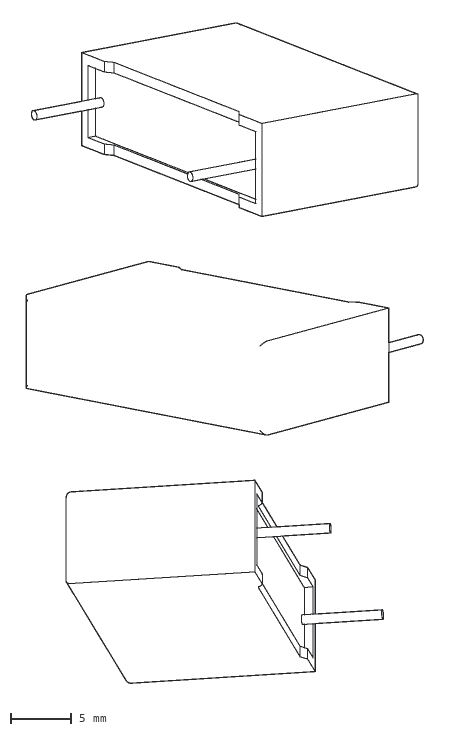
import cadquery as cq

LENGTH = 26.0
DEPTH = 16.0
HEIGHT = 8.0
WALL = 0.9
BACK_EDGE_RADIUS = 0.5

RELIEF_DEPTH = 0.5
FOOT_LENGTH = 3.28
FOOT_SLOPE_LENGTH = 0.7

FILL_RECESS = 0.75

LEAD_DIAMETER = 0.8
LEAD_SPACING = 22.5
LEAD_PROJECTION = 6.0

CAVITY_LENGTH = LENGTH - 2 * WALL
CAVITY_HEIGHT = HEIGHT - 2 * WALL
FILL_DEPTH = DEPTH - WALL - FILL_RECESS


def block(length, depth, height, front):
    """Box centred in X and Z that runs from Y = front toward +Y."""
    return cq.Workplane("XY").box(length, depth, height).translate((0, front + depth / 2, 0))


def make_rim_relief():
    """Trapezoid that thins the rim between the feet, through the full height."""
    outer_half = LENGTH / 2 - FOOT_LENGTH
    inner_half = outer_half - FOOT_SLOPE_LENGTH
    return (
        cq.Workplane("XY")
        .workplane(offset=-HEIGHT / 2)
        .moveTo(-outer_half, 0)
        .lineTo(-inner_half, RELIEF_DEPTH)
        .lineTo(inner_half, RELIEF_DEPTH)
        .lineTo(outer_half, 0)
        .close()
        .extrude(HEIGHT)
    )


def make_housing():
    shell = block(LENGTH, DEPTH, HEIGHT, 0).faces(">Y").edges().fillet(BACK_EDGE_RADIUS)
    cavity = block(CAVITY_LENGTH, DEPTH - WALL, CAVITY_HEIGHT, 0)
    return shell.cut(cavity).cut(make_rim_relief())


def make_filling():
    return block(CAVITY_LENGTH, FILL_DEPTH, CAVITY_HEIGHT, FILL_RECESS)


def make_lead(x):
    """Round lead that stands on the outer face of the filling and points toward -Y."""
    return (
        cq.Workplane("XZ", origin=(x, FILL_RECESS, 0))
        .circle(LEAD_DIAMETER / 2)
        .extrude(FILL_RECESS + LEAD_PROJECTION)
    )


housing = make_housing()
filling = make_filling()
leads = [make_lead(side * LEAD_SPACING / 2) for side in (-1, 1)]

result = cq.Compound.makeCompound(
    [housing.val(), filling.val(), *[lead.val() for lead in leads]]
)